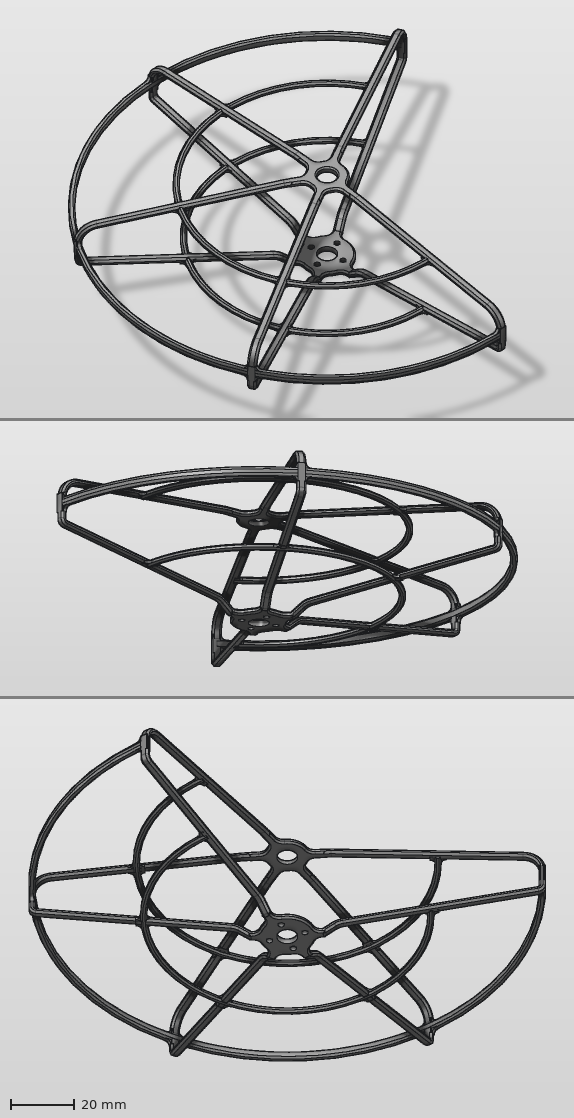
import cadquery as cq
import math

height = 35.63
guard_radius = 81.6
spoke_angles = [105, 165, 225, 285, 345]
bar_thickness = 2.0

spoke_width = 3.0
spoke_chamfer = 0.7
upper_bend_radius = 14.0
upper_corner_z = 30.1
upper_corner_fillet = 7.5
lower_corner_z = 14.2
lower_corner_fillet = 2.5
knee_radius = 16.5
knee_z = 3.7
knee_fillet = 5.0
foot_radius = 11.8
foot_fillet = 2.0
spoke_start_radius = 5.0

upper_hub_radius = 7.0
lower_hub_radius = 9.0
hub_arm_reach = 12.0
hub_fillet = 3.0
hub_edge_chamfer = 0.6
bore_radius = 3.3
bore_chamfer = 0.5
mount_hole_count = 4
mount_circle_radius = 5.9
mount_hole_diameter = 2.0

outer_ring_height = 3.0
outer_ring_z = 21.55
upper_ring_radius = 48.6
lower_ring_radius = 46.3
inner_ring_drop = 0.4
ring_bevel = 0.6
outer_ring_face_bevel_depth = 0.4
outer_ring_face_bevel_height = 0.9
flare_radius = 1.6
node_width = 2.4

upper_bend = (upper_bend_radius, height)
upper_corner = (guard_radius, upper_corner_z)
lower_corner = (guard_radius, lower_corner_z)
knee = (knee_radius, knee_z)
foot = (foot_radius, 0)


def line_z(radius, start, end):
    """Height at a given radius on the straight line through two (radius, z) points."""
    slope = (end[1] - start[1]) / (end[0] - start[0])
    return start[1] + slope * (radius - start[0])


def make_spoke():
    """Bent bar along +X: upper arm, outer upright, lower arm and foot."""
    outline = [
        (-bar_thickness, height),
        upper_bend,
        upper_corner,
        lower_corner,
        knee,
        foot,
        (-bar_thickness, 0),
    ]
    corner_fillets = [
        (upper_corner, upper_corner_fillet),
        (lower_corner, lower_corner_fillet),
        (knee, knee_fillet),
        (foot, foot_fillet),
    ]
    side = cq.Workplane("XZ").polyline(outline).close().extrude(spoke_width / 2, both=True)
    for (radius, z), fillet in corner_fillets:
        nearest = cq.selectors.NearestToPointSelector((radius, 0, z))
        side = side.edges("|Y").edges(nearest).fillet(fillet)
    opening_wire = side.faces("<Y").wires().val().offset2D(-bar_thickness)[0]
    opening = cq.Solid.extrudeLinear(opening_wire, [], cq.Vector(0, spoke_width, 0))
    bar = side.cut(cq.Workplane(opening)).faces("<Y or >Y").edges().chamfer(spoke_chamfer)
    outward_side = (
        cq.Workplane("XY")
        .box(guard_radius, spoke_width, height, centered=(False, True, False))
        .translate((spoke_start_radius, 0, 0))
    )
    return bar.intersect(outward_side)


def make_hub_plate(hub_radius, base_z):
    """Round plate with a filleted stub arm in line with every spoke."""
    plate = cq.Workplane("XY").circle(hub_radius).extrude(bar_thickness)
    for angle in spoke_angles:
        arm = (
            cq.Workplane("XY")
            .box(hub_arm_reach, spoke_width, bar_thickness, centered=(False, True, False))
            .rotate((0, 0, 0), (0, 0, 1), angle)
        )
        plate = plate.union(arm)
    root_limit = (hub_radius + hub_arm_reach) / 2
    root_edges = [
        edge
        for edge in plate.edges("|Z").vals()
        if math.hypot(edge.Center().x, edge.Center().y) < root_limit
    ]
    plate = plate.newObject(root_edges).fillet(hub_fillet)
    plate = plate.faces("<Z or >Z").edges().chamfer(hub_edge_chamfer)
    return plate.translate((0, 0, base_z))


def make_ring(outer_radius, ring_height, centre_z, face_bevel_depth, face_bevel_height):
    """Bevelled ring sector running from the first spoke to the last."""
    inner_radius = outer_radius - bar_thickness
    top = centre_z + ring_height / 2
    bottom = centre_z - ring_height / 2
    section = [
        (inner_radius, bottom + ring_bevel),
        (inner_radius + ring_bevel, bottom),
        (outer_radius - face_bevel_depth, bottom),
        (outer_radius, bottom + face_bevel_height),
        (outer_radius, top - face_bevel_height),
        (outer_radius - face_bevel_depth, top),
        (inner_radius + ring_bevel, top),
        (inner_radius, top - ring_bevel),
    ]
    return (
        cq.Workplane("XZ")
        .polyline(section)
        .close()
        .revolve(spoke_angles[-1] - spoke_angles[0], (0, 0), (0, 1))
        .rotate((0, 0, 0), (0, 0, 1), spoke_angles[0])
    )


def make_flare(plane, bar_width, depth):
    """Fillet-shaped widening of a bar, grown along local x from a spoke's middle plane."""
    inner_end = spoke_width / 2
    outer_end = inner_end + flare_radius
    narrow = bar_width / 2
    wide = narrow + flare_radius
    mid = flare_radius * (1 - math.sqrt(0.5))
    return (
        cq.Workplane(plane)
        .moveTo(0, -wide)
        .lineTo(inner_end, -wide)
        .threePointArc((inner_end + mid, -narrow - mid), (outer_end, -narrow))
        .lineTo(outer_end, narrow)
        .threePointArc((inner_end + mid, narrow + mid), (inner_end, wide))
        .lineTo(0, wide)
        .close()
        .extrude(depth / 2, both=True)
    )


def make_flares(side):
    """Flares of all three rings on one side of a spoke along +X; side is +1 or -1 along Y."""
    outwards = (0, side, 0)
    flat_depth = bar_thickness - 2 * ring_bevel
    outer_middle = guard_radius - bar_thickness / 2
    upright = cq.Plane(origin=(outer_middle, 0, outer_ring_z), xDir=outwards, normal=(1, 0, 0))
    upright_depth = bar_thickness - 2 * outer_ring_face_bevel_depth
    flares = [make_flare(upright, outer_ring_height, upright_depth)]
    for ring_radius, ring_z in inner_rings:
        middle = ring_radius - bar_thickness / 2
        level = cq.Plane(origin=(middle, 0, ring_z), xDir=outwards, normal=(0, 0, 1))
        flares.append(make_flare(level, bar_thickness, flat_depth))
    return flares


def make_node():
    """Flat-faced block where the outer ring crosses the upright of a spoke along +X."""
    node_height = outer_ring_height + 2 * flare_radius
    middle = guard_radius - bar_thickness / 2
    return (
        cq.Workplane("XY")
        .box(bar_thickness, node_width, node_height)
        .translate((middle, 0, outer_ring_z))
    )


upper_ring_z = line_z(upper_ring_radius, upper_bend, upper_corner) - bar_thickness / 2 - inner_ring_drop
lower_ring_z = line_z(lower_ring_radius, knee, lower_corner) + bar_thickness / 2 - inner_ring_drop

inner_rings = [(upper_ring_radius, upper_ring_z), (lower_ring_radius, lower_ring_z)]

parts = [
    make_hub_plate(upper_hub_radius, height - bar_thickness),
    make_ring(
        guard_radius,
        outer_ring_height,
        outer_ring_z,
        outer_ring_face_bevel_depth,
        outer_ring_face_bevel_height,
    ),
]
for ring_radius, ring_z in inner_rings:
    parts.append(make_ring(ring_radius, bar_thickness, ring_z, ring_bevel, ring_bevel))

spoke = make_spoke()
node = make_node()
left_flares = make_flares(1)
right_flares = make_flares(-1)
for angle in spoke_angles:
    spoke_parts = [spoke, node]
    if angle != spoke_angles[-1]:
        spoke_parts += left_flares
    if angle != spoke_angles[0]:
        spoke_parts += right_flares
    for piece in spoke_parts:
        parts.append(piece.rotate((0, 0, 0), (0, 0, 1), angle))

lower_hub = make_hub_plate(lower_hub_radius, 0)
frame = cq.Workplane(lower_hub.val().fuse(*[part.val() for part in parts]))

bore = cq.Workplane("XY").circle(bore_radius).extrude(height)
countersink = (
    cq.Workplane("XY", origin=(0, 0, height - bore_chamfer))
    .circle(bore_radius)
    .workplane(offset=bore_chamfer)
    .circle(bore_radius + bore_chamfer)
    .loft()
)
mount_holes = (
    cq.Workplane("XY")
    .polarArray(mount_circle_radius, 0, 360, mount_hole_count)
    .circle(mount_hole_diameter / 2)
    .extrude(bar_thickness)
)
result = frame.cut(bore).cut(countersink).cut(mount_holes)